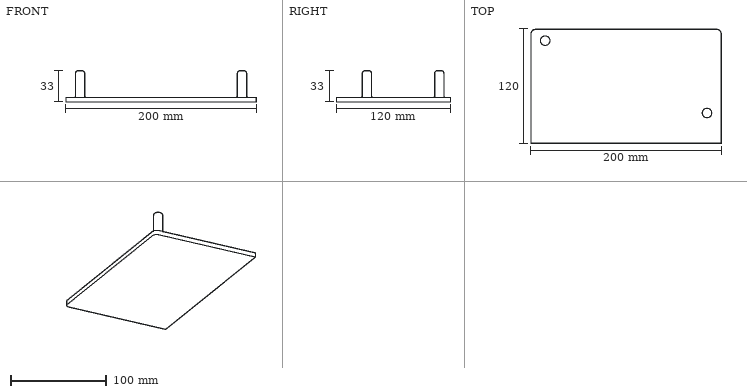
import cadquery as cq

plate_length = 200.0
plate_width = 120.0
plate_thickness = 5.0
corner_radius = 5.0
front_strip_width = 20.0

total_height = 33.0
pin_diameter = 10.0
pin_tip_fillet = 3.0
pin_root_fillet = 1.0
pin_side_inset = 15.0
pin_edge_inset = 12.0

pin_radius = pin_diameter / 2
pin_x = plate_length / 2 - pin_side_inset
back_pin_y = plate_width / 2 - pin_edge_inset
front_pin_y = -plate_width / 2 + front_strip_width + pin_edge_inset
pin_positions = [(-pin_x, back_pin_y), (pin_x, front_pin_y)]


def make_plate():
    """Flat plate with its two back corners rounded, resting on Z = 0."""
    plate = cq.Workplane("XY").box(
        plate_length, plate_width, plate_thickness, centered=(True, True, False)
    )
    return plate.edges("|Z and >Y").fillet(corner_radius)


def make_pin(x, y):
    """Upright pin with a rounded tip and a concave flare where it meets the plate."""
    root_radius = pin_radius + pin_root_fillet
    root_top = plate_thickness + pin_root_fillet
    tip_start = total_height - pin_tip_fillet
    root_offset = pin_root_fillet * 0.5**0.5
    tip_offset = pin_tip_fillet * 0.5**0.5
    profile = (
        cq.Workplane("XZ")
        .lineTo(0, total_height)
        .lineTo(pin_radius - pin_tip_fillet, total_height)
        .threePointArc(
            (pin_radius - pin_tip_fillet + tip_offset, tip_start + tip_offset),
            (pin_radius, tip_start),
        )
        .lineTo(pin_radius, root_top)
        .threePointArc(
            (root_radius - root_offset, root_top - root_offset),
            (root_radius, plate_thickness),
        )
        .lineTo(root_radius, 0)
        .close()
    )
    return profile.revolve(360, (0, 0, 0), (0, 1, 0)).translate((x, y, 0))


result = make_plate()
for x, y in pin_positions:
    result = result.union(make_pin(x, y))